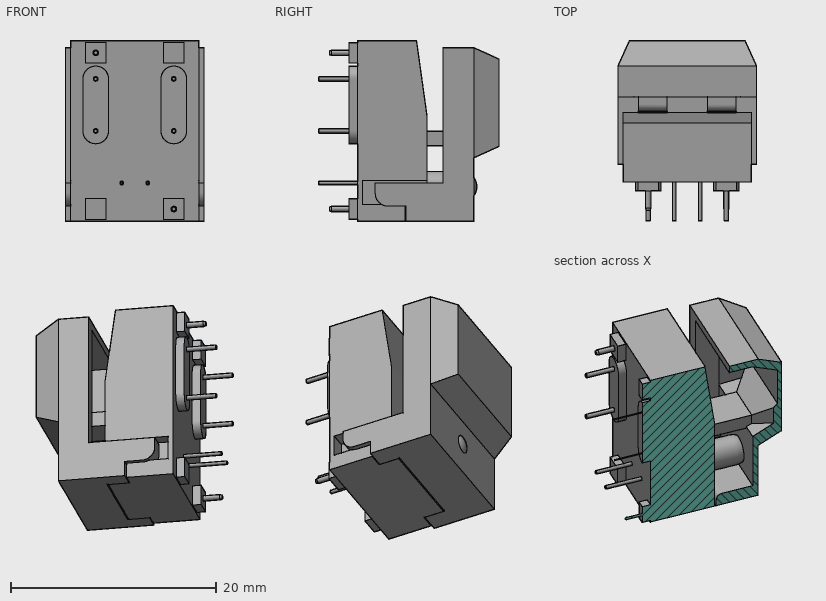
import cadquery as cq
import math


pitch = 1.27
housing_height = 17.61
grid_mid_z = housing_height / 2
column_x = 3 * pitch
contact_z = (grid_mid_z, grid_mid_z + 4 * pitch)
lead_x = pitch
lead_z = grid_mid_z - 4 * pitch
corner_z = (grid_mid_z - 6 * pitch, grid_mid_z + 6 * pitch)

housing_width = 12.5
housing_depth = 6.78
housing_top_depth = 5.75
slope_start_z = 10.28
pad_height = 0.85
pad_size = 2.0
contact_pad_width = 2.5

slot_front_y = 0.5
slot_floor_z = 1.62
slot_ceiling_z = 3.96
foot_gap = 0.07

post_diameter = 0.55
post_end_y = -2.75
post_chamfer_length = 0.23
post_chamfer_width = 0.09

pin_end_y = -3.8
contact_pin_diameter = 0.45
lead_pin_diameter = 0.37
pin_chamfer = 0.07

cap_width = 13.5
cap_height = 16.92
cap_front_y = 8.31
cap_back_y = 11.34
button_depth = 2.45
button_inset = 1.11
button_bottom_z = 6.18
button_taper = math.degrees(math.atan(button_inset / button_depth))

pocket_width = 10.43
pocket_top_z = 16.1
pocket_back_y = 10.75
cavity_bottom_z = 7.5
cavity_depth = 2.6

arm_inner_x = 4.75
arm_tip_y = 1.73
arm_top_z = 3.75
arm_bottom_z = 1.48
arm_tip_radius = 1.25
foot_front_y = 4.72
base_front_y = 6.9
base_height = 1.4
base_edge_radius = 0.63

plunger_width = 3.95
plunger_bottom_z = 7.35
plunger_top_z = 8.79
flare_start_y = 11.3

led_diameter = 3.0
led_z = 3.38
led_tip_y = 11.64


def plane_facing_back(y):
    """Plane at the given Y whose normal is +Y and whose local Y is the part's Z."""
    return cq.Workplane(cq.Plane(origin=(0, y, 0), xDir=(-1, 0, 0), normal=(0, 1, 0)))


def plane_facing_front(y):
    """Plane at the given Y whose normal is -Y, with local axes X and Z."""
    return cq.Workplane("XZ", origin=(0, y, 0))


def block(x_range, y_range, z_range):
    """Box between the given limits."""
    size = [high - low for low, high in (x_range, y_range, z_range)]
    corner = (x_range[0], y_range[0], z_range[0])
    return cq.Workplane("XY").box(*size, centered=False).translate(corner)


def back_block(width, z_range, start_y, depth, taper=0.0):
    """Block centred on X that grows toward +Y, narrowing by the taper angle on all four sides."""
    bottom, top = z_range
    outline = plane_facing_back(start_y).center(0, (bottom + top) / 2).rect(width, top - bottom)
    return outline.extrude(depth, taper=taper)


def side_profile(points, x_start, x_end):
    """Closed outline of (Y, Z) points, extruded between two X positions."""
    return cq.Workplane("YZ", origin=(x_start, 0, 0)).polyline(points).close().extrude(x_end - x_start)


def both_sides(right_shape):
    """The shape together with its mirror image across the YZ plane."""
    return right_shape.union(right_shape.mirror("YZ"))


def make_cap_arms():
    """Side arms reaching into the housing slots, each with a foot below and a rounded tip."""
    outline = [
        (pocket_back_y, 0),
        (pocket_back_y, arm_top_z),
        (arm_tip_y, arm_top_z),
        (arm_tip_y, arm_bottom_z),
        (foot_front_y, arm_bottom_z),
        (foot_front_y, 0),
    ]
    arm = side_profile(outline, arm_inner_x, cap_width / 2)
    tip_edge = cq.selectors.NearestToPointSelector((cap_width / 2, arm_tip_y, arm_bottom_z))
    arm = arm.edges("|X").edges(tip_edge).fillet(arm_tip_radius)
    return both_sides(arm)


def make_cap_cavity():
    """Tapered cavity inside the button, parallel to its outer slopes."""
    return back_block(
        pocket_width, (cavity_bottom_z, pocket_top_z), pocket_back_y, cavity_depth, button_taper
    )


def make_cap_plunger():
    """Straight bar from the housing to the button, flared where it meets the cavity walls."""
    z_range = (plunger_bottom_z, plunger_top_z)
    bar = back_block(plunger_width, z_range, housing_depth, flare_start_y - housing_depth)
    flare_depth = pocket_back_y + cavity_depth - flare_start_y
    height = plunger_top_z - plunger_bottom_z
    flare_outline = plane_facing_back(flare_start_y).center(0, (plunger_bottom_z + plunger_top_z) / 2)
    flare = (
        flare_outline.rect(plunger_width, height)
        .workplane(offset=flare_depth)
        .rect(plunger_width + 2 * flare_depth, height + 2 * flare_depth)
        .loft(ruled=True)
    )
    return bar.union(flare.intersect(make_cap_cavity()))


def make_cap_base():
    """Plate between the feet, with a rounded upper front edge."""
    base = block((-arm_inner_x, arm_inner_x), (base_front_y, pocket_back_y), (0, base_height))
    return base.edges("|X and <Y and >Z").fillet(base_edge_radius)


def make_cap(led):
    """Push cap with its button, hollow, arms, base and plunger, bored to fit the LED."""
    cap = back_block(cap_width, (0, cap_height), cap_front_y, cap_back_y - cap_front_y)
    button = back_block(cap_width, (button_bottom_z, cap_height), cap_back_y, button_depth, button_taper)
    pocket = back_block(
        pocket_width, (base_height, pocket_top_z), cap_front_y, pocket_back_y - cap_front_y
    )
    cap = cap.union(button).cut(pocket).cut(make_cap_cavity())
    cap = cap.union(make_cap_arms()).union(make_cap_base()).union(make_cap_plunger())
    return cap.cut(led)


def make_housing_body():
    """Main block, sloped back at the top of its rear face."""
    outline = [
        (0, 0),
        (housing_depth, 0),
        (housing_depth, slope_start_z),
        (housing_top_depth, housing_height),
        (0, housing_height),
    ]
    return side_profile(outline, -housing_width / 2, housing_width / 2)


def make_housing_slots():
    """Side slots for the arms, open to the rear and stepped down to the underside at the feet."""
    step_y = foot_front_y - foot_gap
    outline = [
        (slot_front_y, slot_floor_z),
        (slot_front_y, slot_ceiling_z),
        (housing_depth, slot_ceiling_z),
        (housing_depth, 0),
        (step_y, 0),
        (step_y, slot_floor_z),
    ]
    return both_sides(side_profile(outline, arm_inner_x, housing_width / 2))


def make_housing_pads():
    """Square stand-off pads at the corners and rounded pads around the contact pins."""
    face = plane_facing_front(0)
    corners = [(x, z) for x in (-column_x, column_x) for z in corner_z]
    square_pads = face.pushPoints(corners).rect(pad_size, pad_size).extrude(pad_height)
    centres = [(x, sum(contact_z) / 2) for x in (-column_x, column_x)]
    contact_pad_length = contact_z[1] - contact_z[0] + contact_pad_width
    round_pads = (
        face.pushPoints(centres).slot2D(contact_pad_length, contact_pad_width, 90).extrude(pad_height)
    )
    return square_pads.union(round_pads)


def make_locating_post(x, z):
    """Round post standing on a corner pad, with a long chamfer at its tip."""
    radius = post_diameter / 2
    post = plane_facing_front(-pad_height).center(x, z).circle(radius).extrude(-post_end_y - pad_height)
    return post.faces("<Y").chamfer(post_chamfer_length, post_chamfer_width)


def make_housing(cap):
    """Housing with slots, pads and two diagonal posts; the cap arms bed slightly into the slot floors."""
    housing = make_housing_body().cut(make_housing_slots()).union(make_housing_pads())
    for x, z in ((-column_x, corner_z[1]), (column_x, corner_z[0])):
        housing = housing.union(make_locating_post(x, z))
    return housing.cut(cap)


def make_pin(diameter, x, z, start_y):
    """Round pin from the given face to the common pin end, with a chamfered tip."""
    pin = plane_facing_front(start_y).center(x, z).circle(diameter / 2).extrude(start_y - pin_end_y)
    return pin.faces("<Y").chamfer(pin_chamfer)


def make_led():
    """LED lying along Y between the housing and the cap, with a half-round head."""
    radius = led_diameter / 2
    barrel_length = led_tip_y - radius - housing_depth
    barrel = plane_facing_back(housing_depth).center(0, led_z).circle(radius).extrude(barrel_length)
    head = cq.Workplane("XY").sphere(radius).translate((0, led_tip_y - radius, led_z))
    return barrel.union(head)


led = make_led()
cap = make_cap(led)
housing = make_housing(cap)
contact_pins = [
    make_pin(contact_pin_diameter, x, z, -pad_height) for x in (-column_x, column_x) for z in contact_z
]
lead_pins = [make_pin(lead_pin_diameter, x, lead_z, 0) for x in (-lead_x, lead_x)]

result = cq.Compound.makeCompound(
    [housing.val(), cap.val(), led.val(), *[pin.val() for pin in contact_pins + lead_pins]]
)